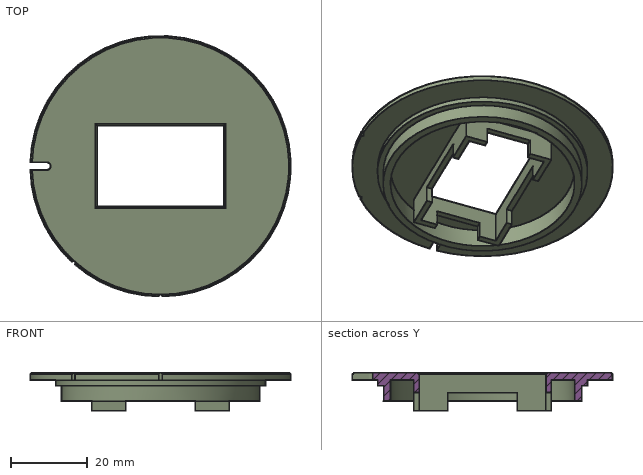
import cadquery as cq
import math

total_height = 10.0
rim_thickness = 2.0
step_thickness = 1.5
skirt_height = 4.0
rim_bottom = total_height - rim_thickness
step_bottom = rim_bottom - step_thickness
skirt_bottom = step_bottom - skirt_height

rim_diameter = 68.0
step_diameter = 54.8
skirt_diameter = 51.8
cavity_diameter = 48.0
edge_chamfer = 0.5

window_length = 33.0
window_width = 21.0
frame_wall = 1.5
frame_length = window_length + 2 * frame_wall
frame_width = window_width + 2 * frame_wall
foot_length = 9.0
foot_width = 6.0
frame_gap_height = 4.75

slot_width = 2.0
slot_end_radius = 28.7
notch_diameter = 1.0
notch_angles = (-90, -132)


def cylinder(diameter, bottom, height):
    return cq.Workplane("XY").workplane(offset=bottom).circle(diameter / 2).extrude(height)


def block(length, width, height):
    """Centred rectangular block standing on the level of the feet."""
    return cq.Workplane("XY").rect(length, width).extrude(height)


def make_body():
    """Chamfered rim over a stepped skirt that is hollow from below."""
    rim = cylinder(rim_diameter, rim_bottom, rim_thickness).faces(">Z").chamfer(edge_chamfer)
    step = cylinder(step_diameter, step_bottom, step_thickness)
    skirt = cylinder(skirt_diameter, skirt_bottom, skirt_height)
    cavity = cylinder(cavity_diameter, skirt_bottom, rim_bottom - skirt_bottom)
    return rim.union(step.union(skirt).cut(cavity))


def make_frame():
    """Rectangular frame whose sides are notched to leave four L-shaped corner feet."""
    frame = block(frame_length, frame_width, rim_bottom)
    gap_across_x = block(frame_length - 2 * foot_length, frame_width, frame_gap_height)
    gap_across_y = block(frame_length, frame_width - 2 * foot_width, frame_gap_height)
    return frame.cut(gap_across_x).cut(gap_across_y)


def make_window():
    """Through opening that flares out at the top face."""
    opening = block(window_length, window_width, total_height)
    flare = (
        cq.Workplane("XY", origin=(0, 0, total_height))
        .rect(window_length + 2 * edge_chamfer, window_width + 2 * edge_chamfer)
        .extrude(-edge_chamfer, taper=45)
    )
    return opening.union(flare)


def make_slot():
    """Round-ended slot open at the -X edge of the rim."""
    end_center = -slot_end_radius - slot_width / 2
    straight_length = rim_diameter / 2 + end_center
    straight = (
        cq.Workplane("XY", origin=(end_center - straight_length / 2, 0, rim_bottom))
        .rect(straight_length, slot_width)
        .extrude(rim_thickness)
    )
    rounded_end = cylinder(slot_width, rim_bottom, rim_thickness).translate((end_center, 0, 0))
    return straight.union(rounded_end)


def make_notch(angle):
    radius = rim_diameter / 2
    x = radius * math.cos(math.radians(angle))
    y = radius * math.sin(math.radians(angle))
    return cylinder(notch_diameter, rim_bottom, rim_thickness).translate((x, y, 0))


result = make_body().union(make_frame()).cut(make_window()).cut(make_slot())
for notch_angle in notch_angles:
    result = result.cut(make_notch(notch_angle))